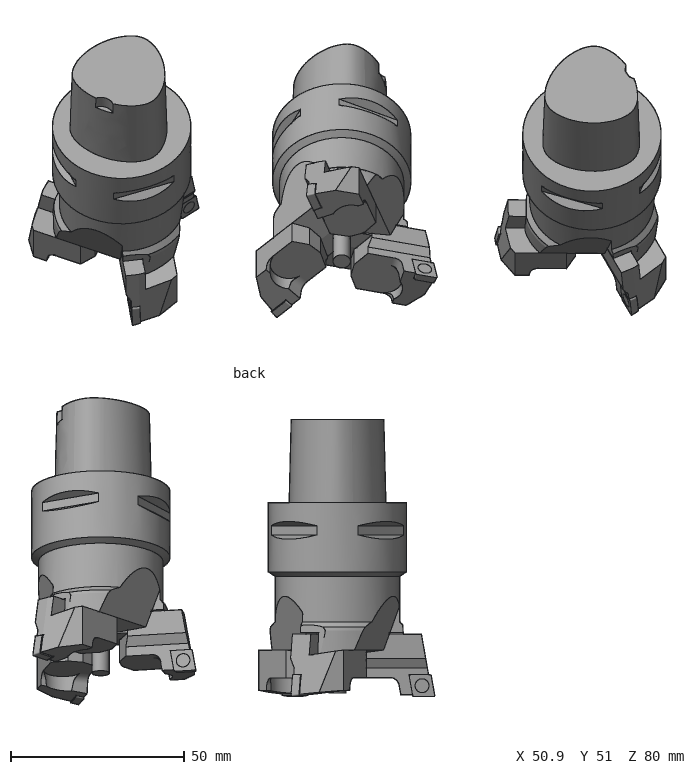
import cadquery as cq
import math


CARTRIDGE_ANGLES = (0, 122.3, 243.4)
SHANK_LENGTH = 24
TIP_Z = -56
TIP_RADIUS = 28.2
REACH = 48

SHANK_RADIUS = 14.0
LOBE_HEIGHT = 1.0
SHANK_TAPER = 1 / 40
SHANK_SIDES = 6
SIDE_STEPS = 6
KEY_RADIUS = 3.7
KEY_CENTER_Y = -14.8
KEY_DEPTH = 4

FLANGE_RADIUS = 20
FLANGE_EDGE_Z = -20
NECK_RADIUS = 18.0
NECK_TOP_Z = -21.3
COLLAR_TOP_Z = -34.4
COLLAR_EDGE_Z = -35.9
COLLAR_EDGE_RADIUS = NECK_RADIUS + COLLAR_TOP_Z - COLLAR_EDGE_Z
COLLAR_Z = -37.0
COLLAR_RADIUS = 19.8
BODY_BOTTOM_Z = -44

SLOT_ANGLES = (45, 135, 225, 315)
SLOT_FLOOR_DISTANCE = 17.7
SLOT_Z = -8
SLOT_FLOOR_HEIGHT = 2.6
SLOT_MOUTH_HEIGHT = 5.1

POST_DIAMETER = 5.0
POST_END_Z = -55.0

FRONT_Y = 2.4
TAB_BACK_Y = -3.4
BACK_Y = -13.0
TAB_TOP_Z = -37.9
SEAT_BACK_Z = -42.6
BACK_BOTTOM_Z = -54.2
FRONT_BOTTOM_Z = -55.5
STEP_TOP_Z = -45.0
STEP_BOTTOM_Z = -47.8
RELIEF = math.tan(math.radians(10))
TAB_RADIUS = 24.2
INNER_END = 4.6
INNER_END_FRONT_Y = -4.1
INNER_END_BACK_Y = -8.5
INNER_SLOPE = math.tan(math.radians(30))
INNER_FRONT_X = -INNER_END - (FRONT_Y - INNER_END_FRONT_Y) * INNER_SLOPE
INNER_BACK_X = -INNER_END - (INNER_END_BACK_Y - BACK_Y) * INNER_SLOPE
CORNER_BACK_X = -22.1
CORNER_SLOPE = 1.4
ARCH_Z = -50.6
ARCH_END_X = -17.4
ARCH_RADIUS = POST_DIAMETER / 2
CLEARANCE_X = -14.2
CLEARANCE_Y = -7.4
CLEARANCE_RADIUS = 5.4

INSERT_FACE_Y = 1.0
INSERT_THICKNESS = 2.4
INSERT_CIRCLE = 6.3
INSERT_ANGLE = math.radians(80)
INSERT_SIDE = INSERT_CIRCLE / math.sin(INSERT_ANGLE)
INSERT_LEAN = INSERT_SIDE * math.cos(INSERT_ANGLE)
INSERT_CLEARANCE = 7
NOSE_RADIUS = 0.4
SCREW_HEAD_DIAMETER = 4
SCREW_DIAMETER = 2.8
SEAT_Y = INSERT_FACE_Y - INSERT_THICKNESS

FLUTE_SLOPE = math.tan(math.radians(18))
FLAT_DISTANCE = 19.0
FLAT_SLOPE = 0.05
POCKET_TOP_Z = -37.5


def turned(shape, angle):
    return shape.rotate((0, 0, 0), (0, 0, 1), angle)


def half_space(point, normal):
    """Block that fills the side of a plane its normal points to."""
    return cq.Workplane(cq.Plane(origin=point, normal=normal)).rect(2 * REACH, 2 * REACH).extrude(REACH)


def prism_along_x(points):
    """Prism of a Y-Z outline, from X = -REACH to X = REACH."""
    return cq.Workplane("YZ").polyline(points).close().extrude(REACH, both=True)


def shank_point(t, z):
    """Point of a three-lobed curve of constant width whose normal has angle t."""
    support = SHANK_RADIUS - z * SHANK_TAPER - LOBE_HEIGHT * math.sin(3 * t)
    slope = -3 * LOBE_HEIGHT * math.cos(3 * t)
    x = support * math.cos(t) - slope * math.sin(t)
    y = support * math.sin(t) + slope * math.cos(t)
    return cq.Vector(x, y, z)


def shank_section(z):
    """Three lobes and three flatter flanks, with one lobe towards +Y."""
    span = 2 * math.pi / SHANK_SIDES
    edges = []
    for side in range(SHANK_SIDES):
        angles = [span * (side + i / SIDE_STEPS) for i in range(SIDE_STEPS + 1)]
        points = [shank_point(t, z) for t in angles]
        ends = [cq.Vector(-math.sin(t), math.cos(t), 0) for t in (angles[0], angles[-1])]
        edges.append(cq.Edge.makeSpline(points, tangents=ends))
    return cq.Wire.assembleEdges(edges)


def make_shank():
    shank = cq.Workplane(cq.Solid.makeLoft([shank_section(0), shank_section(SHANK_LENGTH)], True))
    key = cq.Workplane("XY", origin=(0, KEY_CENTER_Y, SHANK_LENGTH - KEY_DEPTH)).circle(KEY_RADIUS)
    return shank.cut(key.extrude(KEY_DEPTH))


def make_turned_body():
    outline = [
        (0, 0),
        (FLANGE_RADIUS, 0),
        (FLANGE_RADIUS, FLANGE_EDGE_Z),
        (NECK_RADIUS, NECK_TOP_Z),
        (NECK_RADIUS, COLLAR_TOP_Z),
        (COLLAR_EDGE_RADIUS, COLLAR_EDGE_Z),
        (COLLAR_RADIUS, COLLAR_Z),
        (COLLAR_RADIUS, BODY_BOTTOM_Z),
        (0, BODY_BOTTOM_Z),
    ]
    turned_body = cq.Workplane("XZ").polyline(outline).close().revolve(360, (0, 0, 0), (0, 1, 0))
    post = cq.Workplane("XY", origin=(0, 0, POST_END_Z)).circle(POST_DIAMETER / 2)
    post = post.extrude(BODY_BOTTOM_Z - POST_END_Z)
    return turned_body.union(post)


def gripper_slot():
    floor = SLOT_FLOOR_HEIGHT / 2
    mouth = SLOT_MOUTH_HEIGHT / 2
    return prism_along_x([
        (SLOT_FLOOR_DISTANCE, SLOT_Z - floor),
        (FLANGE_RADIUS, SLOT_Z - mouth),
        (FLANGE_RADIUS, SLOT_Z + mouth),
        (SLOT_FLOOR_DISTANCE, SLOT_Z + floor),
    ])


def insert_outline():
    top_z = TIP_Z + INSERT_CIRCLE
    return cq.Workplane("XZ", origin=(0, INSERT_FACE_Y, 0)).polyline([
        (-TIP_RADIUS, TIP_Z),
        (INSERT_SIDE - TIP_RADIUS, TIP_Z),
        (INSERT_SIDE + INSERT_LEAN - TIP_RADIUS, top_z),
        (INSERT_LEAN - TIP_RADIUS, top_z),
    ]).close()


def make_screw():
    """Countersunk screw that fills the insert hole, flush with the insert face."""
    center_x = (INSERT_SIDE + INSERT_LEAN) / 2 - TIP_RADIUS
    center_z = TIP_Z + INSERT_CIRCLE / 2
    return cq.Workplane(cq.Solid.makeCone(
        SCREW_HEAD_DIAMETER / 2,
        SCREW_DIAMETER / 2,
        INSERT_THICKNESS,
        cq.Vector(center_x, INSERT_FACE_Y, center_z),
        cq.Vector(0, -1, 0),
    ))


def make_insert():
    insert = insert_outline().extrude(INSERT_THICKNESS, taper=INSERT_CLEARANCE)
    insert = insert.edges("not(<Y or >Y)").fillet(NOSE_RADIUS)
    return insert.cut(make_screw())


def cartridge_blank():
    side_profile = prism_along_x([
        (FRONT_Y, TAB_TOP_Z),
        (TAB_BACK_Y, TAB_TOP_Z),
        (TAB_BACK_Y, BODY_BOTTOM_Z),
        (BACK_Y, SEAT_BACK_Z),
        (BACK_Y, BACK_BOTTOM_Z),
        (INSERT_FACE_Y, FRONT_BOTTOM_Z),
        (INSERT_FACE_Y, STEP_BOTTOM_Z),
        (FRONT_Y, STEP_TOP_Z),
    ])
    corner_front_x = CORNER_BACK_X - (FRONT_Y - BACK_Y) / CORNER_SLOPE
    plan = cq.Workplane("XY", origin=(0, 0, TIP_Z)).polyline([
        (INNER_FRONT_X, FRONT_Y),
        (-INNER_END, INNER_END_FRONT_Y),
        (-INNER_END, INNER_END_BACK_Y),
        (INNER_BACK_X, BACK_Y),
        (CORNER_BACK_X, BACK_Y),
        (corner_front_x, FRONT_Y),
    ]).close().extrude(TAB_TOP_Z - TIP_Z)
    return side_profile.intersect(plan)


def arch_cut():
    """Space under the cartridge, with a rounded corner beside the outer leg."""
    arch_height = ARCH_Z - TIP_Z
    arch = cq.Workplane("XZ").polyline([
        (0, ARCH_Z),
        (ARCH_END_X, ARCH_Z),
        (ARCH_END_X - arch_height * RELIEF, TIP_Z),
        (0, TIP_Z),
    ]).close().extrude(REACH, both=True)
    arch = arch.edges("|Y").edges(">Z").edges("<X").fillet(ARCH_RADIUS)
    clearance = cq.Workplane("XY", origin=(CLEARANCE_X, CLEARANCE_Y, TIP_Z)).circle(CLEARANCE_RADIUS)
    return arch.union(clearance.extrude(arch_height))


def make_cartridge():
    land_edge = (-TAB_RADIUS, SEAT_Y, TAB_TOP_Z)
    cartridge = cartridge_blank()
    cartridge = cartridge.cut(half_space(land_edge, (-1, 0, RELIEF)))
    cartridge = cartridge.cut(half_space(land_edge, (-1, -RELIEF, RELIEF)))
    cartridge = cartridge.cut(arch_cut())
    cartridge = cartridge.cut(insert_outline().extrude(INSERT_THICKNESS))
    return cartridge.union(make_screw())


def flute_cut(next_angle):
    """Space behind a cartridge and under its seat plane, up to the front plane of the next cartridge."""
    top_y = BACK_Y - (FLANGE_EDGE_Z - SEAT_BACK_Z) * FLUTE_SLOPE
    flute = prism_along_x([
        (TAB_BACK_Y, TIP_Z),
        (TAB_BACK_Y, BODY_BOTTOM_Z),
        (BACK_Y, SEAT_BACK_Z),
        (top_y, FLANGE_EDGE_Z),
        (-REACH, FLANGE_EDGE_Z),
        (-REACH, TIP_Z),
    ])
    return flute.intersect(turned(half_space((0, FRONT_Y, 0), (0, 1, 0)), next_angle))


def collar_flat():
    zone = cq.Workplane("XY", origin=(0, 0, TIP_Z)).rect(2 * REACH, 2 * REACH).extrude(COLLAR_TOP_Z - TIP_Z)
    return zone.intersect(half_space((-FLAT_DISTANCE, 0, COLLAR_Z), (-1, 0, FLAT_SLOPE)))


def tab_gap():
    return cq.Workplane("XY", origin=(0, 0, TAB_TOP_Z)).polyline([
        (INNER_FRONT_X, FRONT_Y),
        (INNER_FRONT_X, TAB_BACK_Y),
        (-REACH, TAB_BACK_Y),
        (-REACH, FRONT_Y),
    ]).close().extrude(POCKET_TOP_Z - TAB_TOP_Z)


def make_body(cartridges):
    body = make_turned_body()
    for i, angle in enumerate(CARTRIDGE_ANGLES):
        pitch = CARTRIDGE_ANGLES[(i + 1) % len(CARTRIDGE_ANGLES)] - angle
        body = body.cut(turned(flute_cut(pitch), angle))
        body = body.cut(turned(collar_flat(), angle))
        body = body.cut(turned(tab_gap(), angle))
    for cartridge in cartridges:
        body = body.cut(cartridge)
    for angle in SLOT_ANGLES:
        body = body.cut(turned(gripper_slot(), angle))
    return body.union(make_shank())


cartridges = [turned(make_cartridge(), angle) for angle in CARTRIDGE_ANGLES]
inserts = [turned(make_insert(), angle) for angle in CARTRIDGE_ANGLES]
body = make_body(cartridges)

result = cq.Compound.makeCompound([
    body.solids().val(),
    *[cartridge.solids().val() for cartridge in cartridges],
    *[insert.solids().val() for insert in inserts],
])